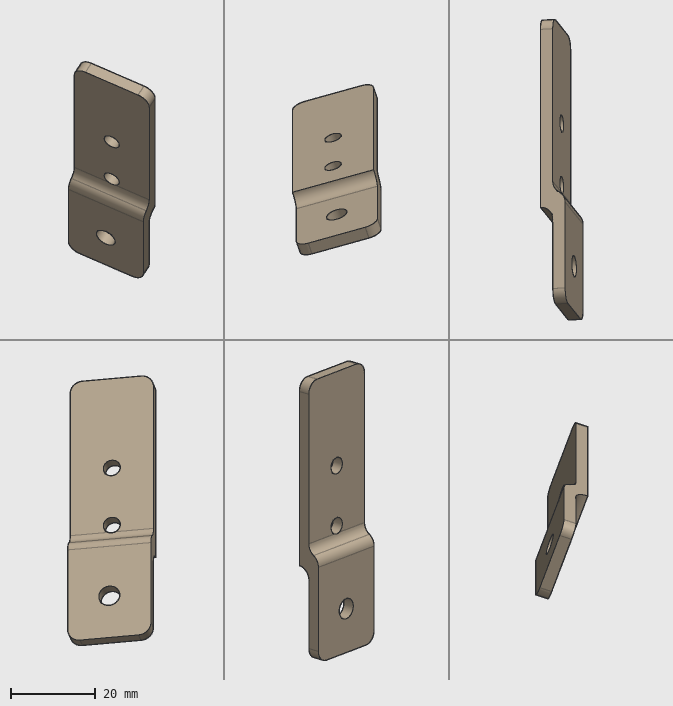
import cadquery as cq
import math

width = 20.0
height = 69.5
thickness = 3.0
offset = thickness
bend_radius = 3.0
corner_radius = 3.0

front_bend_start = 24.0
back_bend_start = 20.0

small_hole_diameter = 4.0
large_hole_diameter = 5.0
upper_hole_height = 46.0
middle_hole_height = 31.0
lower_hole_height = 11.0

depth = thickness + offset


def arc_offset(angle):
    """Setback and rise along a bend arc that starts vertical, after turning by angle."""
    return bend_radius * (1 - math.cos(angle)), bend_radius * math.sin(angle)


def make_strip():
    """Extrude the side outline of the joggled strip across its width."""
    turn = math.acos(1 - offset / (2 * bend_radius))
    joint_y, joint_rise = arc_offset(turn)
    middle_y, middle_rise = arc_offset(turn / 2)
    joint_z = front_bend_start + joint_rise
    front_bend_end = front_bend_start + 2 * joint_rise

    back_middle_y, back_middle_rise = arc_offset(math.pi / 4)

    return (
        cq.Workplane("YZ")
        .moveTo(0, 0)
        .lineTo(0, front_bend_start)
        .threePointArc((middle_y, front_bend_start + middle_rise), (joint_y, joint_z))
        .threePointArc((offset - middle_y, front_bend_end - middle_rise), (offset, front_bend_end))
        .lineTo(offset, height)
        .lineTo(depth, height)
        .lineTo(depth, back_bend_start + bend_radius)
        .threePointArc(
            (thickness + back_middle_y, back_bend_start + back_middle_rise),
            (thickness, back_bend_start),
        )
        .lineTo(thickness, 0)
        .close()
        .extrude(width / 2, both=True)
    )


def make_hole(diameter, center_height):
    """Cylinder along Y that passes through the whole depth."""
    return (
        cq.Workplane("XZ", origin=(0, depth, 0))
        .center(0, center_height)
        .circle(diameter / 2)
        .extrude(depth)
    )


result = make_strip()
result = result.edges("|Y and (<Z or >Z)").fillet(corner_radius)

for hole_diameter, hole_height in (
    (small_hole_diameter, upper_hole_height),
    (small_hole_diameter, middle_hole_height),
    (large_hole_diameter, lower_hole_height),
):
    result = result.cut(make_hole(hole_diameter, hole_height))